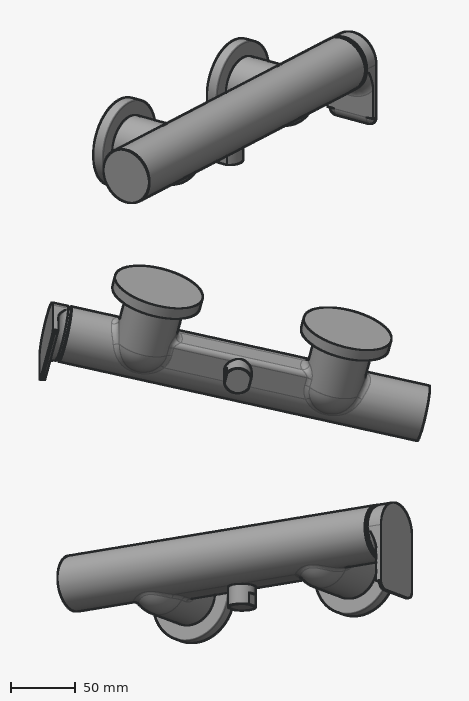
import cadquery as cq

barrel_radius = 22.0
barrel_front_y = -150.0
barrel_rear_y = 135.6
barrel_front_chamfer = 0.4
barrel_rear_chamfer = 0.8

inlet_spacing = 150.0
inlet_drop = 9.8
inlet_radius = 23.0
inlet_dome_x = -11.5
inlet_fillet = 5.0
inlet_ys = (-inlet_spacing / 2, inlet_spacing / 2)

flange_radius = 35.0
flange_thickness = 9.5
flange_edge_fillet = 0.6
wall_x = -60.51
flange_face_x = wall_x + flange_thickness

corner_fillet = 4.0

outlet_x = -10.0
outlet_radius = 10.8
outlet_flats = 19.6
outlet_top_z = -(barrel_radius - corner_fillet)
outlet_bottom_z = -38.1
flats_top_z = -28.6
outlet_chamfer = 0.4

lever_radius = 21.8
lever_rear_y = 149.9
lever_head_length = 12.3
lever_front_y = lever_rear_y - lever_head_length
blade_thickness = 4.4
blade_bottom_z = -50.71
blade_corner_radius = 6.5
head_fillet = lever_head_length - blade_thickness
tip_bevel_depth = 2.8

ring_radius = 20.7


def cylinder_along_y(radius, y_start, y_end):
    return cq.Workplane("XZ", origin=(0, y_start, 0)).circle(radius).extrude(y_start - y_end)


def make_inlet(y):
    """Horizontal neck from the flange, closed by a hemisphere inside and below the barrel."""
    neck_length = inlet_dome_x - flange_face_x
    neck = cq.Workplane("YZ", origin=(flange_face_x, y, -inlet_drop)).circle(inlet_radius)
    neck = neck.extrude(neck_length)
    dome = cq.Workplane("XY", origin=(inlet_dome_x, y, -inlet_drop)).sphere(inlet_radius)
    return neck.union(dome)


def make_outlet_blank():
    return (
        cq.Workplane("XY", origin=(outlet_x, 0, outlet_bottom_z))
        .circle(outlet_radius)
        .extrude(outlet_top_z - outlet_bottom_z)
    )


def make_body():
    barrel = cylinder_along_y(barrel_radius, barrel_front_y, barrel_rear_y)
    barrel = barrel.faces("<Y").chamfer(barrel_front_chamfer)
    barrel = barrel.faces(">Y").chamfer(barrel_rear_chamfer)
    corner = (
        cq.Workplane("XY")
        .box(barrel_radius, inlet_spacing, barrel_radius)
        .translate((-barrel_radius / 2, 0, -barrel_radius / 2))
        .edges("|Y and <X and <Z")
        .fillet(corner_fillet)
    )
    body = barrel.union(corner)
    for y in inlet_ys:
        body = body.union(make_inlet(y))
    body = body.edges("%BSPLINE").fillet(inlet_fillet)
    return body.cut(make_outlet_blank())


def make_flange(y):
    return (
        cq.Workplane("YZ", origin=(wall_x, y, -inlet_drop))
        .circle(flange_radius)
        .extrude(flange_thickness)
        .faces(">X")
        .edges()
        .fillet(flange_edge_fillet)
    )


def make_outlet():
    """Round spout with two wrench flats below a full round collar."""
    flats_height = flats_top_z - outlet_bottom_z
    flats = (
        cq.Workplane("XY", origin=(outlet_x, 0, outlet_bottom_z))
        .rect(2 * outlet_radius, outlet_flats)
        .extrude(flats_height)
    )
    collar = cq.Workplane("XY", origin=(outlet_x, 0, flats_top_z)).circle(outlet_radius)
    collar = collar.extrude(outlet_top_z - flats_top_z)
    spout = make_outlet_blank().intersect(flats.union(collar))
    return spout.faces("<Z").chamfer(outlet_chamfer)


def make_ring():
    return cylinder_along_y(ring_radius, barrel_rear_y, lever_front_y)


def make_lever_outline():
    """Lever seen along Y: a half round over a straight blade with rounded lower corners."""
    straight_end_z = blade_bottom_z + blade_corner_radius
    corner_x = lever_radius - blade_corner_radius
    return (
        cq.Workplane("XZ", origin=(0, lever_rear_y, 0))
        .moveTo(-lever_radius, 0)
        .threePointArc((0, lever_radius), (lever_radius, 0))
        .lineTo(lever_radius, straight_end_z)
        .radiusArc((corner_x, blade_bottom_z), blade_corner_radius)
        .lineTo(-corner_x, blade_bottom_z)
        .radiusArc((-lever_radius, straight_end_z), blade_corner_radius)
        .close()
        .extrude(lever_head_length)
    )


def make_scoop():
    """Half ring below the axis that thins the lever to the blade and flares out of the round head."""
    blade_face_y = lever_rear_y - blade_thickness
    scoop_radius = 2 * lever_radius - blade_bottom_z
    return (
        cq.Workplane("XY")
        .moveTo(lever_radius, lever_front_y)
        .radiusArc((lever_radius + head_fillet, blade_face_y), head_fillet)
        .lineTo(scoop_radius, blade_face_y)
        .lineTo(scoop_radius, lever_front_y)
        .close()
        .revolve(180, (0, 0, 0), (0, 1, 0))
    )


def make_tip_profile(x):
    """Section of the tip bevel, in a plane across X: an arc that leaves the blade face tangentially."""
    blade_face_y = lever_rear_y - blade_thickness
    arc_radius = (blade_corner_radius**2 + tip_bevel_depth**2) / (2 * tip_bevel_depth)
    return (
        cq.Workplane("YZ", origin=(x, 0, 0))
        .moveTo(blade_face_y, blade_bottom_z + blade_corner_radius)
        .radiusArc((blade_face_y + tip_bevel_depth, blade_bottom_z), -arc_radius)
        .lineTo(blade_face_y, blade_bottom_z)
        .close()
    )


def make_tip_cutter():
    """Rounds the inner face of the blade down along its lower edge and around both corners."""
    corner_x = lever_radius - blade_corner_radius
    straight_end_z = blade_bottom_z + blade_corner_radius
    cutter = make_tip_profile(-corner_x).extrude(2 * corner_x)
    for side in (-1, 1):
        corner = make_tip_profile(side * corner_x).revolve(
            90, (0, straight_end_z, 0), (-side, straight_end_z, 0)
        )
        cutter = cutter.union(corner)
    return cutter


def make_lever():
    return make_lever_outline().cut(make_scoop()).cut(make_tip_cutter())


body = make_body()
flanges = [make_flange(y) for y in inlet_ys]
outlet = make_outlet()
ring = make_ring()
lever = make_lever()

result = cq.Compound.makeCompound(
    [
        body.val(),
        *[flange.val() for flange in flanges],
        outlet.val(),
        ring.val(),
        lever.val(),
    ]
)